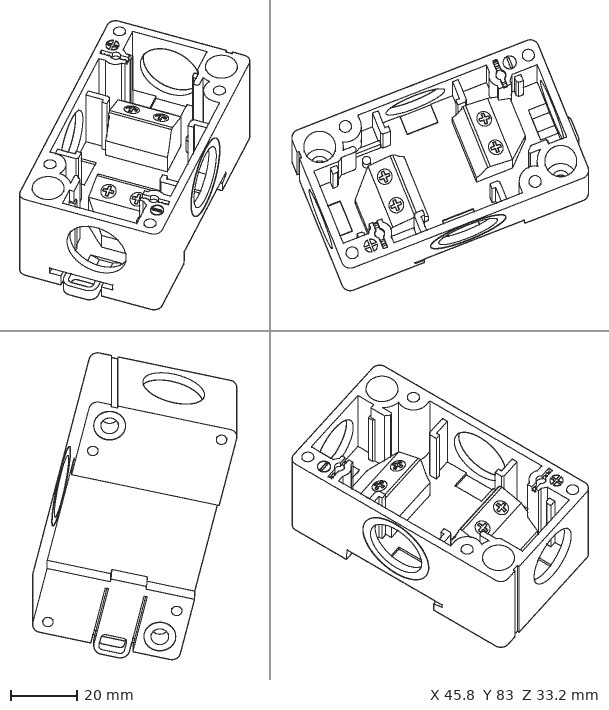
import cadquery as cq
import math

width = 45.8
length = 80.0
height = 33.0
corner_radius = 2.65
wall = 2.6
floor_top = 7.55
half_width = width / 2
half_length = length / 2
inner_x = half_width - wall
inner_y = half_length - wall
foot_height = 0.25

mount_x, mount_y = 15.5, 33.0
mount_hole_radius = 2.65
mount_bore_radius = 4.8
mount_bore_floor = 6.6
mount_boss_radius = 7.1
cover_corner_x, cover_corner_y = -18.5, 36.0
cover_side_x, cover_side_y = 18.5, 23.5
cover_hole_radius = 1.6
cover_bore_radius = 1.8
cover_boss_radius = 4.8

entry_radius = 9.55
entry_z = 19.7
end_entry_x = 2.7
side_ring_radius = 12.3
side_ring_depth = 0.2

post_edge_x = -14.8
boss_edge_x = 9.2
boss_edge_y = 29.4
guide_chamfer = 0.6
rib_top = 27.9
stud_top = 28.2
stud_size = 2.1
stud_y = 31.05
rib_y = 12.1
rib_thickness = 1.8
rib_tip_x = 13.1
rib_lip_width = 1.7
rib_lip_y = 10.95
low_features_top = 12.6

terminal_left, terminal_right = -13.2, 7.1
terminal_nose_left = -12.8
terminal_crest_y, terminal_crest_z = 13.45, 22.5
terminal_ridge_y, terminal_ridge_z = 20.7, 20.1
terminal_back_y, terminal_back_z = 27.55, 12.6
terminal_corner_x = 0.3
terminal_screw_x = (-7.5, 2.0)
terminal_screw_y = 17.3
screw_radius = 2.3
screw_dome = 0.6
screw_cross_length = 3.3
screw_cross_width = 0.8
screw_cross_depth = 0.5

rail_top = 5.0
rail_lip_y = 14.2
rail_back_y = 17.35
rail_front_y = -18.2
rail_front_draft = 0.25
rail_back_z = 3.9
rail_lip_z = 3.15

latch_x = -2.2
latch_width = 11.0
latch_gap = 1.0
latch_height = 4.0
latch_channel_depth = 19.1
overall_length = 83
handle_reach = overall_length - length
handle_wall = 1.6
handle_corner = 2.9
handle_opening_depth = 3.8
latch_tip_y, latch_tip_z = -16.2, 3.9
latch_tooth_base_y = -17.5
latch_tooth_top = 4.6
latch_slot_width = 20.4
latch_slot_height = 2.1
latch_slot_depth = 2.5
latch_ledge_height = 1.0
latch_ledge_depth = 1.7


def box(x0, x1, y0, y1, z0, z1):
    """Axis-aligned block between the given limits."""
    return cq.Workplane("XY").box(x1 - x0, y1 - y0, z1 - z0, centered=False).translate((x0, y0, z0))


def cylinder(x, y, radius, z0, z1):
    """Vertical cylinder between two heights."""
    return cq.Workplane("XY", origin=(x, y, z0)).circle(radius).extrude(z1 - z0)


def half_turn(shape):
    """The shape turned half a revolution about the vertical centre line."""
    return shape.rotate((0, 0, 0), (0, 0, 1), 180)


def both(shape):
    """The shape together with its half-turn copy."""
    return shape.union(half_turn(shape))


def shell():
    """Open-topped rounded box with solid floor and feet under the mounting holes."""
    body = cq.Workplane("XY").rect(width, length).extrude(height).edges("|Z").fillet(corner_radius)
    body = body.cut(box(-inner_x, inner_x, -inner_y, inner_y, floor_top, height))
    return body.union(both(cylinder(mount_x, mount_y, mount_bore_radius, -foot_height, floor_top)))


def terminal_post():
    """Corner mass that carries the earth clip slot."""
    clip_x = -12.1
    clip_top, clip_bottom = 28.0, 23.8
    base_y = 23.15
    outline = (
        cq.Workplane("XY", origin=(0, 0, floor_top))
        .moveTo(-inner_x, inner_y)
        .lineTo(post_edge_x, inner_y)
        .lineTo(post_edge_x, 29.3)
        .lineTo(-13.3, clip_top)
        .lineTo(clip_x, clip_top)
        .lineTo(clip_x, clip_bottom)
        .lineTo(-13.2, clip_bottom)
        .threePointArc((-15.7, 22.4), (-18.1, base_y))
        .lineTo(-inner_x, base_y)
        .close()
    )
    return outline.extrude(height - floor_top)


def mount_post():
    """Corner mass around a mounting hole and the cover screw hole beside it."""
    mount_boss = cylinder(mount_x, mount_y, mount_boss_radius, floor_top, height)
    mount_boss = mount_boss.intersect(box(boss_edge_x, inner_x, 0, inner_y, floor_top, height))
    corner = box(boss_edge_x, inner_x, boss_edge_y, inner_y, floor_top, height)
    cover_boss = cylinder(cover_side_x, cover_side_y, cover_boss_radius, floor_top, height)
    cover_boss = cover_boss.intersect(box(0, inner_x, 0, inner_y, floor_top, height))
    web = box(cover_side_x, inner_x, cover_side_y - cover_boss_radius, mount_y, floor_top, height)
    return mount_boss.union(corner).union(cover_boss).union(web)


def rounded_finger():
    """Round-ended fin beside the rear mounting post."""
    left, right = 10.05, 11.95
    tip_y = 23.1
    radius = (right - left) / 2
    outline = (
        cq.Workplane("XY", origin=(0, 0, floor_top))
        .moveTo(boss_edge_x, boss_edge_y)
        .lineTo(left, 28.1)
        .lineTo(left, tip_y + radius)
        .threePointArc((left + radius, tip_y), (right, tip_y + radius))
        .lineTo(right, boss_edge_y)
        .close()
    )
    return outline.extrude(height - floor_top)


def pointed_finger():
    """Chamfered fin beside the front mounting post."""
    left, right = -9.9, -7.7
    base_y, tip_y = -31.5, -25.1
    inner_chamfer, outer_chamfer = 1.3, 0.3
    outline = (
        cq.Workplane("XY", origin=(0, 0, floor_top))
        .moveTo(left, base_y)
        .lineTo(right, base_y)
        .lineTo(right, tip_y - inner_chamfer)
        .lineTo(right - inner_chamfer, tip_y)
        .lineTo(left + outer_chamfer, tip_y)
        .lineTo(left, tip_y - outer_chamfer)
        .close()
    )
    return outline.extrude(height - floor_top)


def guide_ribs():
    """L-shaped side ribs and small corner studs, each with one chamfered edge."""
    rib = box(rib_tip_x, inner_x, rib_y, rib_y + rib_thickness, floor_top, rib_top)
    rib = rib.edges("|Z and <X and >Y").chamfer(guide_chamfer)
    lip = box(rib_tip_x, rib_tip_x + rib_lip_width, rib_lip_y, rib_y, floor_top, rib_top)
    side = rib.union(lip)
    ribs = side.union(side.mirror("YZ"))
    stud_base_y = stud_y - stud_size / 2
    left_stud = box(post_edge_x, post_edge_x + stud_size, stud_base_y, stud_base_y + stud_size,
                    floor_top, stud_top)
    left_stud = left_stud.edges("|Z and >X and <Y").chamfer(guide_chamfer)
    right_stud = box(boss_edge_x - stud_size, boss_edge_x, stud_base_y, stud_base_y + stud_size,
                     floor_top, stud_top)
    right_stud = right_stud.edges("|Z and <X and <Y").chamfer(guide_chamfer)
    return both(ribs.union(left_stud).union(right_stud))


def low_features():
    """Low wall behind one side rib and a short locating pin."""
    wall_left, wall_right = 13.45, 14.7
    pin_x, pin_y, pin_radius = 10.4, 19.8, 1.25
    low_wall = box(wall_left, wall_right, rib_y + rib_thickness, cover_side_y, floor_top, low_features_top)
    return low_wall.union(cylinder(pin_x, pin_y, pin_radius, floor_top, low_features_top))


def terminal_screw(x, tilt):
    """Domed cross-head screw lying on the sloping top of a terminal block."""
    sphere_radius = (screw_radius**2 + screw_dome**2) / (2 * screw_dome)
    center_z = screw_dome - sphere_radius
    dome = cq.Workplane("XY").sphere(sphere_radius).translate((0, 0, center_z))
    head = cq.Workplane("XY").circle(screw_radius).extrude(screw_dome).intersect(dome)
    head = head.union(cq.Workplane("XY").circle(screw_radius).extrude(-screw_dome))
    cross_floor = cq.Workplane("XY", origin=(0, 0, screw_dome - screw_cross_depth))
    head = head.cut(cross_floor.rect(screw_cross_length, screw_cross_width).extrude(screw_dome))
    head = head.cut(cross_floor.rect(screw_cross_width, screw_cross_length).extrude(screw_dome))
    slope = (terminal_ridge_z - terminal_crest_z) / (terminal_ridge_y - terminal_crest_y)
    z = terminal_crest_z + slope * (terminal_screw_y - terminal_crest_y)
    return head.rotate((0, 0, 0), (1, 0, 0), tilt).translate((x, terminal_screw_y, z))


def terminal_block():
    """Wedge-shaped terminal with a cut-off rear corner, stepped nose and two screws."""
    face_y, face_z = 12.1, 21.6
    crest_bevel_y, crest_bevel_z = 12.6, 22.4
    step_y, step_z = 10.4, 16.3
    nose_y, nose_z = 9.0, 13.8
    wedge = (
        cq.Workplane("YZ", origin=(terminal_left, 0, 0))
        .moveTo(face_y, floor_top)
        .lineTo(face_y, face_z)
        .lineTo(crest_bevel_y, crest_bevel_z)
        .lineTo(terminal_crest_y, terminal_crest_z)
        .lineTo(terminal_ridge_y, terminal_ridge_z)
        .lineTo(terminal_back_y, terminal_back_z)
        .lineTo(terminal_back_y, floor_top)
        .close()
        .extrude(terminal_right - terminal_left)
    )
    corner = (
        cq.Workplane("XY", origin=(0, 0, floor_top))
        .moveTo(terminal_right, terminal_ridge_y)
        .lineTo(terminal_right, terminal_back_y)
        .lineTo(terminal_corner_x, terminal_back_y)
        .close()
        .extrude(height)
    )
    nose = (
        cq.Workplane("YZ", origin=(terminal_nose_left, 0, 0))
        .moveTo(face_y, floor_top)
        .lineTo(face_y, face_z)
        .lineTo(step_y, step_z)
        .lineTo(nose_y, nose_z)
        .lineTo(nose_y, floor_top)
        .close()
        .extrude(terminal_right - terminal_nose_left)
    )
    block = wedge.cut(corner).union(nose)
    fall = terminal_crest_z - terminal_ridge_z
    tilt = -math.degrees(math.atan2(fall, terminal_ridge_y - terminal_crest_y))
    for x in terminal_screw_x:
        block = block.union(terminal_screw(x, tilt))
    return block


def floor_recesses():
    """Shallow recesses in the floor next to the four cable entries."""
    recess_floor = floor_top - 1.0
    recess_width = 10.0
    recess_reach = 6.0
    front_reach, slope_run = 5.65, 2.8
    front_left = -2.2
    front_right = front_left + recess_width
    rear_left = -7.2
    side = box(inner_x - recess_reach, inner_x, -recess_width / 2, recess_width / 2, recess_floor, floor_top)
    side = both(side)
    rear = box(rear_left, rear_left + recess_width, inner_y - recess_reach, inner_y, recess_floor, floor_top)
    front = (
        cq.Workplane("XZ", origin=(0, -inner_y + front_reach, 0))
        .moveTo(front_left, floor_top)
        .lineTo(front_left + slope_run, recess_floor)
        .lineTo(front_right - slope_run, recess_floor)
        .lineTo(front_right, floor_top)
        .close()
        .extrude(front_reach)
    )
    return side.union(rear).union(front)


def cable_entries():
    """Round openings through the four walls, with shallow rings on the long sides."""
    def side_disc(radius, depth):
        return cq.Workplane("YZ", origin=(half_width - depth, 0, entry_z)).circle(radius).extrude(depth)

    end = cq.Workplane("XZ", origin=(end_entry_x, -half_length + wall, entry_z))
    end = end.circle(entry_radius).extrude(wall)
    side = side_disc(entry_radius, wall).union(side_disc(side_ring_radius, side_ring_depth))
    return both(end).union(both(side))


def screw_holes():
    """Counterbored mounting holes and stepped cover screw holes."""
    holes = cylinder(mount_x, mount_y, mount_hole_radius, -foot_height, height)
    holes = holes.union(cylinder(mount_x, mount_y, mount_bore_radius, mount_bore_floor, height))
    for x, y in ((cover_corner_x, cover_corner_y), (cover_side_x, cover_side_y)):
        holes = holes.union(cylinder(x, y, cover_hole_radius, 0, height))
        holes = holes.union(cylinder(x, y, cover_bore_radius, floor_top, height))
    return both(holes)


def clip_slots():
    """Serrated slots widened by a round hole, in the top of the terminal posts."""
    clip_y, slot_width = 26.1, 1.3
    slot_left, slot_right = -20.8, -12.1
    hole_x, hole_radius = -15.9, 1.5
    slot_floor = height - 1.7
    ridge_width, ridge_height = 1.3, 0.5
    ridge_centers = (-19.8, -18.4, -13.1)
    slot = box(slot_left, slot_right, clip_y - slot_width / 2, clip_y + slot_width / 2, slot_floor, height)
    for x in ridge_centers:
        ridge = (
            cq.Workplane("XZ", origin=(x, clip_y + slot_width / 2, slot_floor))
            .moveTo(-ridge_width / 2, 0)
            .lineTo(0, ridge_height)
            .lineTo(ridge_width / 2, 0)
            .close()
            .extrude(slot_width)
        )
        slot = slot.cut(ridge)
    return both(slot.union(cylinder(hole_x, clip_y, hole_radius, slot_floor, height)))


def polarity_marks():
    """Sunken discs with a raised plus at the rear post and minus at the front post."""
    mark_x, mark_y = -18.5, 30.0
    mark_radius, mark_depth = 2.0, 0.25
    bar_length, bar_width = 3.1, 0.7
    mark_floor = height - mark_depth
    disc = cylinder(mark_x, mark_y, mark_radius, mark_floor, height)
    plane = cq.Workplane("XY", origin=(mark_x, mark_y, mark_floor))
    plus = plane.rect(2 * mark_radius, bar_width).extrude(mark_depth)
    plus = plus.union(plane.rect(bar_width, 2 * mark_radius).extrude(mark_depth))
    minus = plane.rect(bar_length, bar_width).extrude(mark_depth)
    return disc.cut(plus).union(half_turn(disc.cut(minus)))


def rail_groove():
    """Groove for the mounting rail, undercut at the rear lip."""
    return (
        cq.Workplane("YZ", origin=(-half_width, 0, 0))
        .moveTo(rail_front_y - rail_front_draft, 0)
        .lineTo(rail_front_y, rail_top)
        .lineTo(rail_back_y, rail_top)
        .lineTo(rail_back_y, rail_back_z)
        .lineTo(rail_lip_y, rail_lip_z)
        .lineTo(rail_lip_y, 0)
        .close()
        .extrude(width)
    )


def latch_channel():
    """Channel under the front end plus the wider stepped slot in the front face."""
    half_channel = latch_width / 2 + latch_gap
    channel_back = -half_length + latch_channel_depth
    channel = box(latch_x - half_channel, latch_x + half_channel, -half_length, channel_back, 0, latch_height)
    half_slot = latch_slot_width / 2
    slot_left, slot_right = latch_x - half_slot, latch_x + half_slot
    slot_top = latch_height + latch_slot_height
    slot_back = -half_length + latch_slot_depth
    ledge_z = latch_height + latch_ledge_height
    slot = box(slot_left, slot_right, -half_length, slot_back, latch_height, ledge_z)
    upper = box(slot_left, slot_right, -half_length, slot_back + latch_ledge_depth, ledge_z, slot_top)
    return channel.union(slot).union(upper)


def latch():
    """Sliding latch: toothed bar under the floor ending in an open pull handle."""
    front_y = -half_length - handle_reach
    left, right = latch_x - latch_width / 2, latch_x + latch_width / 2
    bar = box(left, right, front_y, rail_front_y, 0, latch_height)
    bar = bar.edges("|Z and <Y").fillet(handle_corner)
    opening = box(left + handle_wall, right - handle_wall, front_y + handle_wall,
                  -half_length + handle_opening_depth, 0, latch_height)
    opening = opening.edges("|Z").fillet(handle_corner - handle_wall)
    tooth = (
        cq.Workplane("YZ", origin=(left, 0, 0))
        .moveTo(rail_front_y - rail_front_draft, 0)
        .lineTo(latch_tooth_base_y, 0)
        .lineTo(latch_tip_y, latch_tip_z)
        .lineTo(rail_front_y, latch_tooth_top)
        .close()
        .extrude(latch_width)
    )
    return bar.cut(opening).union(tooth)


def rear_notch():
    """Full-height key notch in the rear wall."""
    notch_left, notch_right = 14.5, 16.5
    notch_depth = 0.7
    return box(notch_left, notch_right, half_length - notch_depth, half_length, 0, height)


inside = both(terminal_post()).union(both(mount_post()))
inside = inside.union(rounded_finger()).union(pointed_finger())
inside = inside.union(guide_ribs()).union(low_features()).union(both(terminal_block()))

result = shell().union(inside)
for pocket in (floor_recesses(), cable_entries(), screw_holes(), clip_slots(), polarity_marks(),
               rail_groove(), latch_channel(), rear_notch()):
    result = result.cut(pocket)
result = result.union(latch())